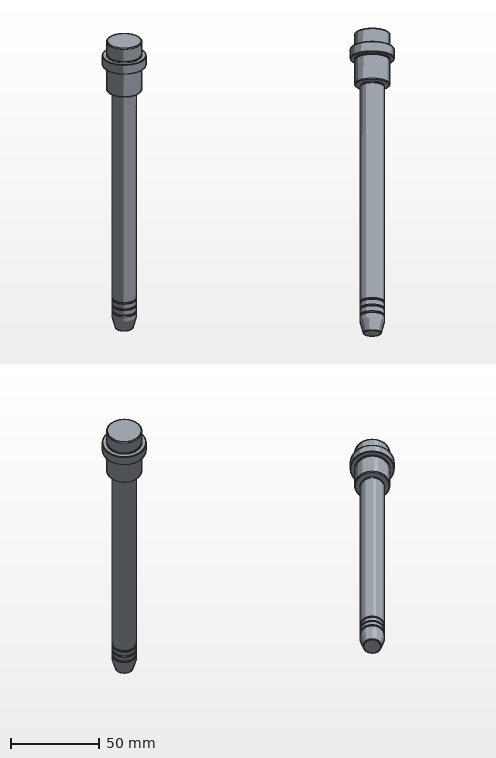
import cadquery as cq
import math

total_length = 181.0

head_length = 31.0
seat_diameter = 20.1
seat_edge_chamfer = 0.5
upper_seat_length = 9.0
collar_diameter = 25.0
collar_thickness = 6.2
collar_edge_chamfer = 0.4

collar_relief_width = 0.9
collar_relief_depth = 0.5

shaft_diameter = 14.0
shaft_relief_width = 0.9
shaft_relief_depth = 0.5
taper_length = 7.0
taper_angle = 15.0
tip_chamfer = 0.4

groove_count = 3
groove_pitch = 4.0
groove_width = 1.0
groove_depth = 0.4
lowest_groove_height = 10.7

collar_top = total_length - upper_seat_length
collar_bottom = collar_top - collar_thickness
head_bottom = total_length - head_length
taper_drop = taper_length * math.tan(math.radians(taper_angle))


def cylinder(diameter, bottom, top):
    """Solid cylinder on the pin axis between two heights."""
    return cq.Workplane("XY").workplane(offset=bottom).circle(diameter / 2).extrude(top - bottom)


def chamfered_cylinder(diameter, bottom, top, chamfer):
    """Cylinder with both end edges chamfered."""
    return cylinder(diameter, bottom, top).faces("<Z or >Z").chamfer(chamfer)


def v_ring(surface_diameter, depth, center, width):
    """Triangular ring that cuts a V groove into a cylindrical surface."""
    radius = surface_diameter / 2
    bottom_lip = (radius, center - width / 2)
    groove_root = (radius - depth, center)
    top_lip = (radius, center + width / 2)
    section = cq.Workplane("XZ").polyline([bottom_lip, groove_root, top_lip]).close()
    return section.revolve(360, (0, 0, 0), (0, 1, 0))


def make_head():
    seats = chamfered_cylinder(seat_diameter, head_bottom, total_length, seat_edge_chamfer)
    relief_offset = collar_relief_width / 2
    for center in (collar_top + relief_offset, collar_bottom - relief_offset):
        seats = seats.cut(v_ring(seat_diameter, collar_relief_depth, center, collar_relief_width))
    collar = chamfered_cylinder(collar_diameter, collar_bottom, collar_top, collar_edge_chamfer)
    return seats.union(collar)


def make_shaft():
    shaft_top = head_bottom - shaft_relief_width
    shaft = cylinder(shaft_diameter, 0, shaft_top)
    shaft = shaft.faces("<Z").chamfer(taper_length, taper_drop)
    shaft = shaft.faces("<Z").chamfer(tip_chamfer)
    for index in range(groove_count):
        center = lowest_groove_height + index * groove_pitch
        shaft = shaft.cut(v_ring(shaft_diameter, groove_depth, center, groove_width))
    relief_neck = cylinder(shaft_diameter - 2 * shaft_relief_depth, shaft_top, head_bottom)
    return shaft.union(relief_neck)


result = make_head().union(make_shaft())